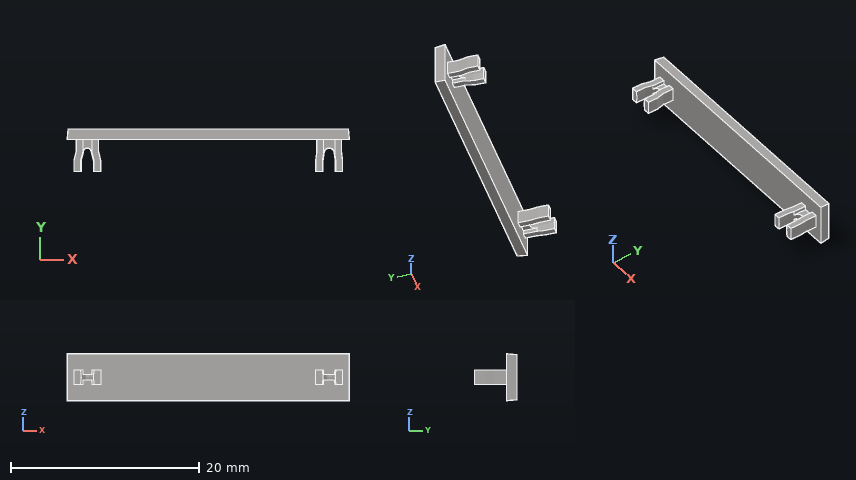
import cadquery as cq
import math

plate_length = 30.0
plate_height = 5.0
plate_thickness = 1.15
plate_draft = 5.0

total_depth = 4.55
clip_reach = total_depth - plate_thickness
clip_center = 12.85
clip_height = 1.55
leg_thickness = 0.72
tip_half_width = 1.45
bend_start = 1.25
bend_end = 2.25
web_thickness = 0.63
slot_root = 0.93
left_leg_shift = 0.25
right_leg_shift = 0.12

ridge_height = 0.075
slot_draft = math.degrees(math.atan(ridge_height / (clip_height / 2)))
mouth_clearance = 0.3


def make_plate():
    """Drafted rectangular plate with its clip side on Y = 0."""
    return (
        cq.Workplane("XZ")
        .rect(plate_length, plate_height)
        .extrude(-plate_thickness, taper=plate_draft)
    )


def clip_blank(base_half_width):
    """Solid clip silhouette, flaring from the plate to the tips."""
    return (
        cq.Workplane("XY")
        .moveTo(-base_half_width, 0)
        .lineTo(-base_half_width, -bend_start)
        .lineTo(-tip_half_width, -bend_end)
        .lineTo(-tip_half_width, -clip_reach)
        .lineTo(tip_half_width, -clip_reach)
        .lineTo(tip_half_width, -bend_end)
        .lineTo(base_half_width, -bend_start)
        .lineTo(base_half_width, 0)
        .close()
        .extrude(clip_height / 2, both=True)
    )


def upper_slot(base_half_gap):
    """Upper half of the round-ended slot, widening away from mid height."""
    radius = base_half_gap - ridge_height
    tip_half_gap = tip_half_width - leg_thickness - ridge_height
    arc_end = -slot_root - radius
    mouth = -clip_reach - mouth_clearance
    return (
        cq.Workplane("XY")
        .moveTo(-radius, arc_end)
        .threePointArc((0, -slot_root), (radius, arc_end))
        .lineTo(tip_half_gap, -bend_end)
        .lineTo(tip_half_gap, mouth)
        .lineTo(-tip_half_gap, mouth)
        .lineTo(-tip_half_gap, -bend_end)
        .close()
        .extrude(clip_height / 2, taper=-slot_draft)
    )


def upper_recess(base_half_gap):
    """Space between the legs above the web."""
    depth = slot_root + base_half_gap
    height = (clip_height - web_thickness) / 2
    return cq.Workplane("XY").box(
        2 * base_half_gap, depth, height, centered=(True, False, False)
    ).translate((0, -depth, web_thickness / 2))


def make_clip(leg_shift):
    """Complete clip whose legs step outwards by leg_shift at the bends."""
    base_half_width = tip_half_width - leg_shift
    base_half_gap = base_half_width - leg_thickness
    clip = clip_blank(base_half_width)
    for upper_cut in (upper_slot(base_half_gap), upper_recess(base_half_gap)):
        clip = clip.cut(upper_cut).cut(upper_cut.mirror("XY"))
    return clip


result = make_plate()
for center, leg_shift in ((-clip_center, left_leg_shift), (clip_center, right_leg_shift)):
    result = result.union(make_clip(leg_shift).translate((center, 0, 0)))